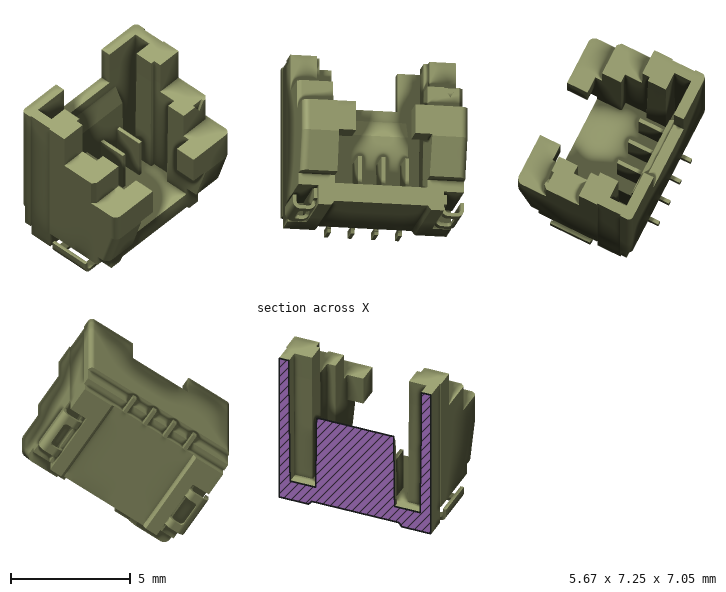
import cadquery as cq
import math


half_width = 3.51
housing_base_z = 0.06
housing_top_z = 7.05
back_step_x = 0.2
post_back_x = 0.51
post_front_x = 1.58
tower_front_x = 2.43
shoulder_front_x = 4.11
leg_back_x = 4.415
leg_front_x = 5.365
leg_toe_x = 4.87
base_front_x = 4.315
back_wall_base_z = 1.545
back_step_base_z = 0.565
shoulder_z = 5.475
leg_top_z = 4.29
leg_taper_z = 2.97
leg_base_z = 1.355
leg_gap_half_width = 1.255
hook_base_z = 3.045
back_corner_radius = 0.2
leg_corner_radius = 0.29
shoulder_chamfer = 0.16
post_recess = 0.05

cavity_back_x = 0.46
side_slot_front_x = 1.24
side_slot_half_width = 3.0
neck_front_x = 2.08
neck_half_width = 2.205
key_front_x = 3.23
key_half_width = 2.385
mouth_front_half_width = 2.01
cavity_floor_z = 1.015
cavity_draft_top_z = 5.94
cavity_floor_inset = 0.06
draft_height = cavity_draft_top_z - cavity_floor_z
wall_draft = math.degrees(math.atan(cavity_floor_inset / draft_height))
rib_front_x = 0.885
rib_half_width = 1.805
rib_top_z = 4.93
rib_ramp_angle = 62.5
rear_notch_half_width = 1.39
rear_notch_depth = 1.66

arch_half_width = 1.98
arch_foot_half_width = 2.12
arch_z = 0.23

mark_depth = 0.115
mark_outer_y = 3.22
mark_inner_y = 2.705
mark_root_z = 5.04

clip_outer_y = 3.625
clip_thickness = 0.15
clip_bend_radius = 0.31
clip_lip_top_z = 0.595
clip_plate_outer_y = 2.81
clip_back_x = 1.855
clip_front_x = 3.72
clip_tab_width = 0.36
clip_window_radius = 0.145
clip_plate_front_x = 4.14
clip_plate_base_z = 0.37
clip_plate_shoulder_z = 0.79
clip_plate_half_crest = 1.03
clip_pocket_top_z = 0.88

contact_count = 4
contact_pitch = 1.0
contact_width = 0.16
contact_tip_x = -0.305
contact_foot_x = 0.255
contact_heel_x = 0.465
contact_foot_z = 0.31
contact_neck_base_z = 0.15
contact_neck_top_z = 0.43
contact_blade_end_x = 2.12
contact_blade_top_z = 2.9


def box(x0, x1, y0, y1, z0, z1):
    """Box between two opposite corners."""
    return cq.Workplane("XY").box(x1 - x0, y1 - y0, z1 - z0, centered=False).translate((x0, y0, z0))


def extrude_across(points, y0, y1):
    """Extrude an XZ outline from y0 to y1."""
    return cq.Workplane("XZ", origin=(0, y1, 0)).polyline(points).close().extrude(y1 - y0)


def mirrored(solid):
    """The solid together with its mirror image across the XZ plane."""
    return solid.union(solid.mirror("XZ"))


def make_tower():
    """Back wall and tall rear part."""
    outline = [
        (post_back_x, housing_base_z),
        (tower_front_x, housing_base_z),
        (tower_front_x, housing_top_z),
        (back_step_x, housing_top_z),
        (back_step_x, back_step_base_z),
        (post_back_x, back_step_base_z),
    ]
    tower = extrude_across(outline, -half_width, half_width)
    back_wall = box(0, post_back_x, -half_width, half_width, back_wall_base_z, housing_top_z)
    back_wall = back_wall.edges("|Z and <X").fillet(back_corner_radius)
    return tower.union(back_wall)


def make_shoulder():
    """Middle step with bevelled front corners."""
    shoulder = box(tower_front_x, shoulder_front_x, -half_width, half_width, leg_base_z, shoulder_z)
    shoulder = shoulder.edges("|Z and >X").chamfer(shoulder_chamfer)
    base = box(tower_front_x, base_front_x, -half_width, half_width, housing_base_z, leg_base_z)
    return shoulder.union(base)


def make_legs():
    """Low front step with rounded corners that follow its tapering front."""
    outline = [
        (tower_front_x, leg_base_z),
        (leg_toe_x, leg_base_z),
        (leg_front_x, leg_taper_z),
        (leg_front_x, leg_top_z),
        (tower_front_x, leg_top_z),
    ]
    legs = extrude_across(outline, -half_width, half_width)
    margin = 0.07
    front_corners = cq.selectors.BoxSelector(
        (tower_front_x + margin, -half_width - margin, leg_base_z + margin),
        (leg_front_x + margin, half_width + margin, leg_top_z - margin),
    )
    legs = legs.edges(front_corners).edges("not |Y").fillet(leg_corner_radius)
    gap = box(leg_back_x, leg_front_x, -leg_gap_half_width, leg_gap_half_width, leg_base_z, leg_top_z)
    return legs.cut(gap)


def make_cavity():
    """Stepped mating cavity, straight at the mouth and drafted down to the floor.

    It runs out at the front below the hooks of the legs.
    """
    runout_x = leg_front_x + cavity_floor_inset
    half_outline = [
        (cavity_back_x, side_slot_half_width),
        (side_slot_front_x, side_slot_half_width),
        (side_slot_front_x, neck_half_width),
        (neck_front_x, neck_half_width),
        (neck_front_x, key_half_width),
        (key_front_x, key_half_width),
        (key_front_x, mouth_front_half_width),
        (runout_x, mouth_front_half_width),
    ]
    outline = half_outline + [(x, -y) for x, y in reversed(half_outline)]
    draft_plane = cq.Workplane("XY", origin=(0, 0, cavity_draft_top_z))
    mouth = draft_plane.polyline(outline).close().extrude(housing_top_z - cavity_draft_top_z)
    drafted = draft_plane.polyline(outline).close().extrude(-draft_height, taper=wall_draft)
    hooks = box(leg_back_x, runout_x, -half_width, half_width, hook_base_z, housing_top_z)
    return mouth.union(drafted).cut(hooks)


def make_rib():
    """Drafted rib on the back wall whose top slopes down into the cavity."""
    rib = cq.Workplane("XY", origin=(0, 0, cavity_floor_z)).rect(2 * rib_front_x, 2 * rib_half_width)
    rib = rib.extrude(rib_top_z - cavity_floor_z, taper=wall_draft)
    ramp_drop = (rib_front_x - cavity_back_x) * math.tan(math.radians(rib_ramp_angle))
    below_ramp = [
        (cavity_back_x, cavity_floor_z),
        (rib_front_x, cavity_floor_z),
        (rib_front_x, rib_top_z - ramp_drop),
        (cavity_back_x, rib_top_z),
    ]
    return rib.intersect(extrude_across(below_ramp, -rib_half_width, rib_half_width))


def make_rear_notch():
    """Open notch in the top of the back wall."""
    return box(
        0, cavity_back_x + cavity_floor_inset, -rear_notch_half_width, rear_notch_half_width,
        housing_top_z - rear_notch_depth, housing_top_z,
    )


def make_post_recess():
    """Shallow full-height recess in the +Y side."""
    return box(post_back_x, post_front_x, half_width - post_recess, half_width, 0, housing_top_z)


def make_clip_pocket():
    """Open pocket under the +Y side that holds the clip."""
    pocket_wall_y = clip_plate_outer_y - clip_thickness
    return box(post_front_x, base_front_x, pocket_wall_y, half_width, 0, clip_pocket_top_z)


def make_arch():
    """Clearance under the housing, between its two feet."""
    outline = [
        (-arch_foot_half_width, housing_base_z),
        (-arch_half_width, arch_z),
        (arch_half_width, arch_z),
        (arch_foot_half_width, housing_base_z),
    ]
    return cq.Workplane("YZ").polyline(outline).close().extrude(base_front_x)


def make_shoulder_mark():
    """V notch in the front edge of the +Y shoulder."""
    outline = [
        (mark_outer_y, shoulder_z),
        ((mark_outer_y + mark_inner_y) / 2, mark_root_z),
        (mark_inner_y, shoulder_z),
    ]
    mark = cq.Workplane("YZ", origin=(shoulder_front_x - mark_depth, 0, 0))
    return mark.polyline(outline).close().extrude(mark_depth)


def make_clip():
    """Bent sheet clip on the +Y side: outer lip, two J-shaped tabs and inner plate."""
    inner_y = clip_plate_outer_y - clip_thickness
    channel = box(clip_back_x, clip_front_x, inner_y, clip_outer_y, 0, clip_lip_top_z)
    channel = channel.edges("|X and <Z").fillet(clip_bend_radius)
    hollow = box(
        clip_back_x, clip_front_x, clip_plate_outer_y, clip_outer_y - clip_thickness,
        clip_thickness, clip_lip_top_z,
    )
    hollow = hollow.edges("|X and <Z").fillet(clip_bend_radius - clip_thickness)
    channel = channel.cut(hollow)
    window = box(
        clip_back_x + clip_tab_width, clip_front_x - clip_tab_width,
        inner_y, clip_outer_y - clip_bend_radius, 0, clip_lip_top_z,
    )
    window = window.edges("|Z and >Y").fillet(clip_window_radius)
    channel = channel.cut(window)

    middle_x = (clip_back_x + clip_front_x) / 2
    crest_rise = clip_pocket_top_z - clip_plate_shoulder_z
    half_length = clip_plate_front_x - middle_x
    half_outline = [
        (half_length, clip_plate_base_z),
        (half_length, clip_plate_shoulder_z),
        (clip_plate_half_crest + crest_rise, clip_plate_shoulder_z),
        (clip_plate_half_crest, clip_pocket_top_z),
    ]
    outline = [(middle_x + x, z) for x, z in half_outline]
    outline += [(middle_x - x, z) for x, z in reversed(half_outline)]
    return channel.union(extrude_across(outline, inner_y, clip_plate_outer_y))


def make_contact(y):
    """Solder foot behind the housing joined to an upright blade in the cavity."""
    outline = [
        (contact_tip_x, 0),
        (contact_heel_x, 0),
        (contact_heel_x, contact_neck_base_z),
        (post_back_x, contact_neck_base_z),
        (post_back_x, arch_z),
        (contact_blade_end_x, arch_z),
        (contact_blade_end_x, contact_blade_top_z),
        (post_back_x, contact_blade_top_z),
        (post_back_x, contact_neck_top_z),
        (contact_foot_x, contact_foot_z),
        (contact_tip_x, contact_foot_z),
    ]
    return extrude_across(outline, y - contact_width / 2, y + contact_width / 2)


result = make_tower().union(make_shoulder()).union(make_legs())
result = result.cut(make_cavity()).union(make_rib())
result = result.cut(make_rear_notch()).cut(make_arch()).cut(make_shoulder_mark())
result = result.cut(mirrored(make_post_recess())).cut(mirrored(make_clip_pocket()))
result = result.union(mirrored(make_clip()))
for index in range(contact_count):
    offset = index - (contact_count - 1) / 2
    result = result.union(make_contact(offset * contact_pitch))